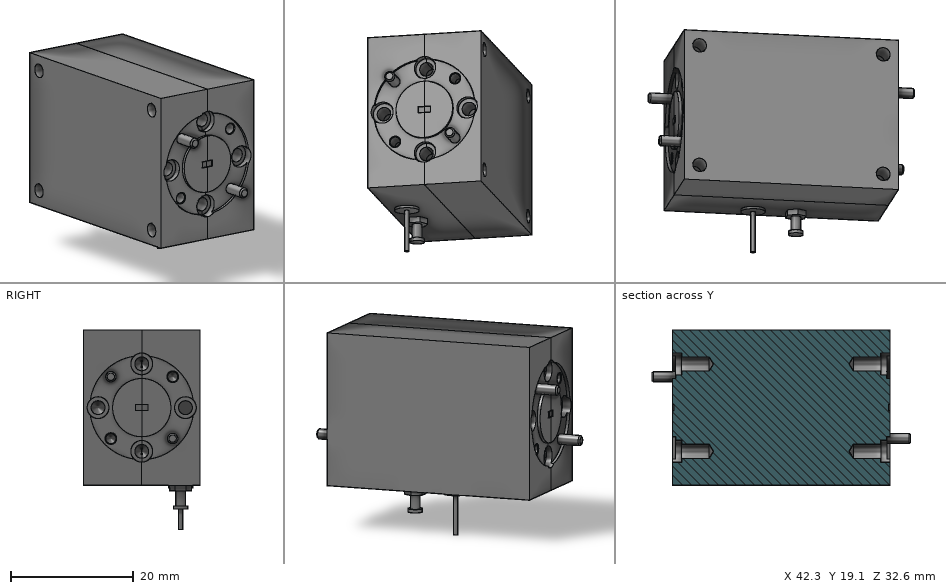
import cadquery as cq
import math

BLOCK_X = 35.56
BLOCK_Y = 19.05
BLOCK_Z = 25.4
END_X = BLOCK_X / 2
FRONT_Y = -BLOCK_Y / 2
BOTTOM_Z = -BLOCK_Z / 2

TAP_DIAMETER = 2.26
DRILL_POINT_ANGLE = 118.0
CORNER_HOLE_SPACING_X = 30.48
CORNER_HOLE_SPACING_Z = 20.32
CORNER_HOLE_DEPTH = 5.0

RING_OUTER_DIAMETER = 17.0
RING_INNER_DIAMETER = 9.525
RING_DEPTH = 0.508
BOLT_CIRCLE_DIAMETER = 14.288
COUNTERBORE_DIAMETER = 3.56
COUNTERBORE_DEPTH = 1.5
SCREW_HOLE_DEPTH = 6.0
POINTED_SCREW_ANGLES = (0, 90, 270)
FLAT_SCREW_ANGLE = 180
ALIGNMENT_HOLE_DIAMETER = 1.65
ALIGNMENT_HOLE_CHAMFER = 0.13
ALIGNMENT_HOLE_DEPTH = 4.0
ALIGNMENT_HOLE_ANGLES = (135, 315)
WAVEGUIDE_Y = 2.032
WAVEGUIDE_Z = 1.016
WAVEGUIDE_DEPTH = 0.25

DOWEL_ANGLES = (45, 225)
DOWEL_DIAMETER = 1.7
DOWEL_CHAMFER = 0.25
DOWEL_TIP_X = 42.29 / 2

TERMINAL_Y = 6.35
TERMINAL_SPACING = 7.112
LEAD_X = -TERMINAL_SPACING / 2
TURRET_X = TERMINAL_SPACING / 2
LEAD_COLLAR_DIAMETER = 4.0
LEAD_COLLAR_HEIGHT = 0.4
LEAD_DIAMETER = 0.76
LEAD_LENGTH = 7.24
HEX_ACROSS_FLATS = 3.1
HEX_HEIGHT = 0.92
POST_DIAMETER = 1.6
CAP_DIAMETER = 2.39
CAP_HEIGHT = 0.55
TURRET_LENGTH = 3.9


def drill(diameter, depth):
    """Cutter from the origin along +Z to `depth`, ending in a drill point."""
    radius = diameter / 2
    point = radius / math.tan(math.radians(DRILL_POINT_ANGLE / 2))
    return (
        cq.Workplane("XZ")
        .polyline([(0, 0), (radius, 0), (radius, depth), (0, depth + point)])
        .close()
        .revolve(360, (0, 0, 0), (0, 1, 0))
    )


def end_plane(y=0, z=0):
    """Sketch plane on the -X end face, extruding into the block."""
    return cq.Workplane("YZ", origin=(-END_X, y, z))


def place_in_end(cutter, y, z):
    """Turn a cutter made along +Z so that it enters the -X end face at (y, z)."""
    return cutter.rotate((0, 0, 0), (0, 1, 0), 90).translate((-END_X, y, z))


def on_bolt_circle(angle):
    """Y and Z of a point on the bolt circle, at an angle from +Y toward +Z."""
    radius = BOLT_CIRCLE_DIAMETER / 2
    return radius * math.cos(math.radians(angle)), radius * math.sin(math.radians(angle))


def to_both_ends(shape):
    """The -X end shape and its copy half a turn round Z, at the +X end."""
    return [shape, shape.rotate((0, 0, 0), (0, 0, 1), 180)]


def make_counterbore(angle):
    return end_plane(*on_bolt_circle(angle)).circle(COUNTERBORE_DIAMETER / 2).extrude(COUNTERBORE_DEPTH)


def make_alignment_hole(angle):
    """Drilled hole with a chamfered mouth at the floor of the ring."""
    radius = ALIGNMENT_HOLE_DIAMETER / 2
    chamfer_end = RING_DEPTH + ALIGNMENT_HOLE_CHAMFER
    mouth = (
        cq.Workplane("XZ")
        .moveTo(0, RING_DEPTH)
        .lineTo(radius + ALIGNMENT_HOLE_CHAMFER, RING_DEPTH)
        .lineTo(radius, chamfer_end)
        .lineTo(0, chamfer_end)
        .close()
        .revolve(360, (0, 0, 0), (0, 1, 0))
    )
    hole = drill(ALIGNMENT_HOLE_DIAMETER, ALIGNMENT_HOLE_DEPTH).union(mouth)
    return place_in_end(hole, *on_bolt_circle(angle))


def make_flange_cutter():
    ring = end_plane().circle(RING_OUTER_DIAMETER / 2).circle(RING_INNER_DIAMETER / 2).extrude(RING_DEPTH)
    waveguide = end_plane().rect(WAVEGUIDE_Y, WAVEGUIDE_Z).extrude(WAVEGUIDE_DEPTH)
    cutter = ring.union(waveguide)

    for angle in POINTED_SCREW_ANGLES:
        screw_hole = place_in_end(drill(TAP_DIAMETER, SCREW_HOLE_DEPTH), *on_bolt_circle(angle))
        cutter = cutter.union(make_counterbore(angle)).union(screw_hole)

    flat_hole = end_plane(*on_bolt_circle(FLAT_SCREW_ANGLE)).circle(TAP_DIAMETER / 2).extrude(SCREW_HOLE_DEPTH)
    cutter = cutter.union(make_counterbore(FLAT_SCREW_ANGLE)).union(flat_hole)

    for angle in ALIGNMENT_HOLE_ANGLES:
        cutter = cutter.union(make_alignment_hole(angle))
    return cutter


def make_half(side):
    """Half of the block on the +Y (side = 1) or -Y (side = -1) side, with its flange cuts."""
    half = cq.Workplane("XY", origin=(0, side * BLOCK_Y / 4, 0)).box(BLOCK_X, BLOCK_Y / 2, BLOCK_Z)
    for cutter in to_both_ends(make_flange_cutter()):
        half = half.cut(cutter)
    return half


def make_corner_holes():
    spacing = (CORNER_HOLE_SPACING_X, CORNER_HOLE_SPACING_Z)
    corners = cq.Workplane("XY").rect(*spacing, forConstruction=True).vertices()
    hole = drill(TAP_DIAMETER, CORNER_HOLE_DEPTH).val()
    holes = corners.eachpoint(lambda location: hole.moved(location))
    return holes.rotate((0, 0, 0), (1, 0, 0), -90).translate((0, FRONT_Y, 0))


def hanging_disc(x, diameter, top, bottom):
    """Disc under the block, between two depths below its bottom face."""
    return cq.Workplane("XY", origin=(x, TERMINAL_Y, BOTTOM_Z - top)).circle(diameter / 2).extrude(top - bottom)


def make_lead():
    collar = hanging_disc(LEAD_X, LEAD_COLLAR_DIAMETER, 0, LEAD_COLLAR_HEIGHT)
    return collar.union(hanging_disc(LEAD_X, LEAD_DIAMETER, 0, LEAD_LENGTH))


def make_turret():
    """Ground terminal: hexagon with flats facing X, a post and a wider cap."""
    hexagon = (
        cq.Workplane("XY")
        .polygon(6, HEX_ACROSS_FLATS, circumscribed=True)
        .extrude(-HEX_HEIGHT)
        .translate((TURRET_X, TERMINAL_Y, BOTTOM_Z))
    )
    post = hanging_disc(TURRET_X, POST_DIAMETER, 0, TURRET_LENGTH)
    cap = hanging_disc(TURRET_X, CAP_DIAMETER, TURRET_LENGTH - CAP_HEIGHT, TURRET_LENGTH)
    return hexagon.union(post).union(cap)


def make_dowel(angle):
    """Dowel at the -X end, from the ring floor out to its chamfered tip."""
    length = DOWEL_TIP_X - END_X + RING_DEPTH
    return (
        cq.Workplane("YZ", origin=(-DOWEL_TIP_X, *on_bolt_circle(angle)))
        .circle(DOWEL_DIAMETER / 2)
        .extrude(length)
        .faces("<X")
        .chamfer(DOWEL_CHAMFER)
    )


front_half = make_half(-1).cut(make_corner_holes())

rear_half = make_half(1).union(make_lead())

turret = make_turret()

dowels = []
for dowel_angle in DOWEL_ANGLES:
    dowels.extend(to_both_ends(make_dowel(dowel_angle)))

result = cq.Compound.makeCompound(
    [front_half.val(), rear_half.val(), turret.val(), *[dowel.val() for dowel in dowels]]
)